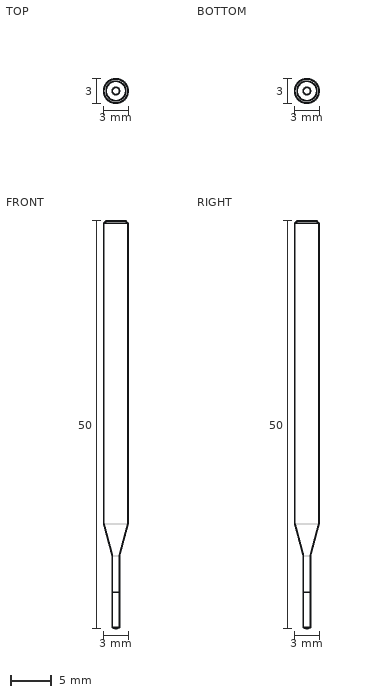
import cadquery as cq
import math

overall_length = 50.0
shank_diameter = 3.0
drill_diameter = 0.9
cutter_length = 4.5
neck_top = 9.0
taper_half_angle = 15.0
point_angle = 135.0
end_chamfer = 0.3

shank_radius = shank_diameter / 2
drill_radius = drill_diameter / 2
taper_height = (shank_radius - drill_radius) / math.tan(math.radians(taper_half_angle))
taper_top = neck_top + taper_height
point_height = drill_radius / math.tan(math.radians(point_angle / 2))


def revolve_profile(points):
    """Solid of revolution about Z from (radius, height) points that start and end on the axis."""
    return cq.Workplane("XZ").polyline(points).close().revolve(360, (0, 0, 0), (0, 1, 0))


def make_shank():
    """Cylindrical shank, chamfered at its top end, that tapers down to a slim neck."""
    return revolve_profile([
        (0, cutter_length),
        (drill_radius, cutter_length),
        (drill_radius, neck_top),
        (shank_radius, taper_top),
        (shank_radius, overall_length - end_chamfer),
        (shank_radius - end_chamfer, overall_length),
        (0, overall_length),
    ])


def make_cutter():
    """Cylindrical cutting end with a conical point, butted flush against the neck."""
    return revolve_profile([
        (0, 0),
        (drill_radius, point_height),
        (drill_radius, cutter_length),
        (0, cutter_length),
    ])


shank = make_shank()
cutter = make_cutter()

result = cq.Compound.makeCompound([shank.val(), cutter.val()])